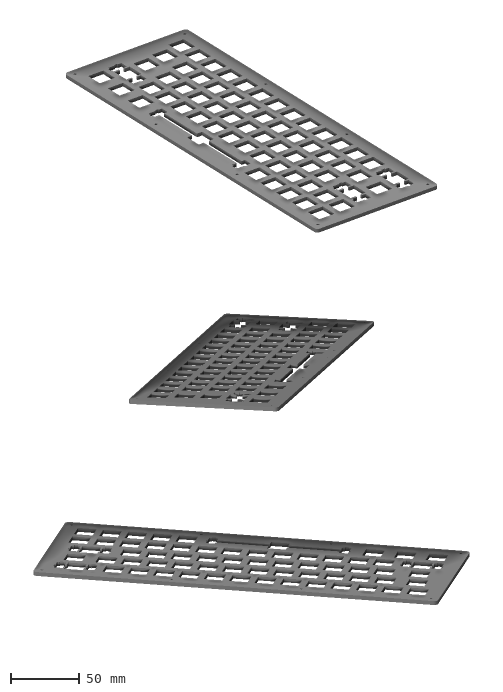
import cadquery as cq

plate_length = 304.0
plate_width = 113.0
plate_thickness = 3.0
corner_radius = 3.0

screw_diameter = 2.2
screw_inset = 5.8
screws_per_edge = 4
screw_rows = 2

units_per_row = 15
end_key_distance = 266.7
key_unit = end_key_distance / (units_per_row - 1)
key_field_length = units_per_row * key_unit
switch_side = 14.0

short_stabilizer_offset = 12.0
space_stabilizer_span = 100.0
space_stabilizer_offset = space_stabilizer_span / 2
housing_width = 6.7
housing_top = 5.5
housing_bottom = -6.7
foot_width = 3.0
foot_bottom = -8.0
wing_reach = 4.3
wing_top = 2.3
wing_bottom = -0.5
wire_slot_top = 2.3
wire_slot_bottom = -2.3

quarters_per_unit = 4
unit_key = 4
control_key = 5
tab_key = 6
caps_key = 7
double_key = 8
enter_key = 9
space_key = 25

key_rows = [
    [unit_key] * 13 + [double_key],
    [tab_key] + [unit_key] * 12 + [tab_key],
    [caps_key] + [unit_key] * 11 + [enter_key],
    [double_key] + [unit_key] * 13,
    [control_key] * 3 + [space_key] + [unit_key] * 5,
]
stabilizer_offsets = {
    double_key: short_stabilizer_offset,
    enter_key: short_stabilizer_offset,
    space_key: space_stabilizer_offset,
}


def box_cutter(left, right, bottom, top):
    """Box through the full plate thickness with the given edges."""
    size = (right - left, top - bottom, plate_thickness)
    return cq.Workplane("XY").box(*size, centered=False).translate((left, bottom, 0))


def switch_cutter():
    half = switch_side / 2
    return box_cutter(-half, half, -half, half)


def stabilizer_cutter(offset):
    """Wire slot plus one stabilizer housing on each side of the switch."""
    inner = offset - housing_width / 2
    outer = offset + housing_width / 2
    body = box_cutter(inner, outer, housing_bottom, housing_top)
    foot = box_cutter(offset - foot_width / 2, offset + foot_width / 2, foot_bottom, 0)
    wing = box_cutter(offset, offset + wing_reach, wing_bottom, wing_top)
    housing = body.union(foot).union(wing)
    slot = box_cutter(-offset, offset, wire_slot_bottom, wire_slot_top)
    return slot.union(housing).union(housing.mirror("YZ"))


def key_cutter(key):
    cutter = switch_cutter()
    if key in stabilizer_offsets:
        cutter = cutter.union(stabilizer_cutter(stabilizer_offsets[key]))
    return cutter


def placed_key_cutters():
    """Cutters for every key, each row laid out from its left end."""
    cutters = []
    for row, keys in enumerate(key_rows):
        y = ((len(key_rows) - 1) / 2 - row) * key_unit
        left = -key_field_length / 2
        for key in keys:
            key_length = key * key_unit / quarters_per_unit
            cutters.append(key_cutter(key).translate((left + key_length / 2, y, 0)))
            left += key_length
    return cutters


def blank_plate():
    return (
        cq.Workplane("XY")
        .box(plate_length, plate_width, plate_thickness, centered=(True, True, False))
        .edges("|Z")
        .fillet(corner_radius)
    )


def drill_screw_holes(plate):
    spacing_x = (plate_length - 2 * screw_inset) / (screws_per_edge - 1)
    spacing_y = plate_width - 2 * screw_inset
    return (
        plate.faces(">Z")
        .workplane(origin=(0, 0, plate_thickness))
        .rarray(spacing_x, spacing_y, screws_per_edge, screw_rows)
        .hole(screw_diameter)
    )


result = drill_screw_holes(blank_plate())
for cutter in placed_key_cutters():
    result = result.cut(cutter)